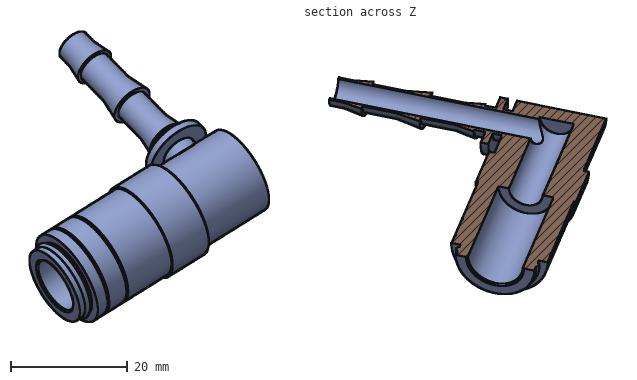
import cadquery as cq


back_radius = 8.0
collar_radius = 9.0
sleeve_radius = 8.65
nose_radius = 7.05
collar_start = 13.75
collar_end = 21.8
sleeve_end = 37.8
body_length = 40.5
collar_chamfer = 0.2

groove_starts = (31.2, 35.35)
groove_width = 0.35
groove_depth = 0.1

ring_center = 38.85
ring_half_width = 0.55
ring_height = 0.45

socket_radius = 4.9
socket_depth = body_length - collar_end
socket_chamfer = 0.3
passage_radius = 3.0

stem_radius = 3.0
stem_bore_radius = 2.5
root_radius = 3.25
flange_radius = 6.0
flange_start = 28.0
flange_width = 1.45
stem_length = 48 - collar_radius
stem_offset = flange_radius
barbs = ((2.55, 6.0, 3.65), (11.95, 16.45, 3.85), (22.5, 26.05, 3.65))
root_start = barbs[-1][1]


def y_cylinder(radius, start, end):
    """Cylinder on the body axis between two distances from the back end."""
    return cq.Workplane("XZ", origin=(0, -start, 0)).circle(radius).extrude(end - start)


def x_cylinder(radius, start, end):
    """Cylinder on the stem axis between two distances from the tip."""
    plane = cq.Workplane("YZ", origin=(start - stem_length, -stem_offset, 0))
    return plane.circle(radius).extrude(end - start)


def make_body():
    body = y_cylinder(back_radius, 0, collar_start)
    collar = y_cylinder(collar_radius, collar_start, collar_end)
    body = body.union(collar.faces(">Y").chamfer(collar_chamfer))
    body = body.union(y_cylinder(sleeve_radius, collar_end, sleeve_end))
    body = body.union(y_cylinder(nose_radius, sleeve_end, body_length))
    for start in groove_starts:
        end = start + groove_width
        groove = y_cylinder(sleeve_radius, start, end)
        core = y_cylinder(sleeve_radius - groove_depth, start, end)
        body = body.cut(groove.cut(core))
    return body.union(make_nose_ring())


def make_nose_ring():
    """Ring with an arched outer face, set into the nose wall."""
    root = (nose_radius + socket_radius) / 2
    first = -(ring_center - ring_half_width)
    last = -(ring_center + ring_half_width)
    profile = (
        cq.Workplane("XY")
        .moveTo(root, first)
        .lineTo(nose_radius, first)
        .threePointArc((nose_radius + ring_height, -ring_center), (nose_radius, last))
        .lineTo(root, last)
        .close()
    )
    return profile.revolve(360, (0, 0, 0), (0, 1, 0))


def make_barb(start, end, radius):
    """Cone that widens from the stem surface to a sharp step."""
    profile = cq.Workplane("XY", origin=(-stem_length, -stem_offset, 0)).polyline(
        [(start, 0), (start, stem_radius), (end, radius), (end, 0)]
    )
    return profile.close().revolve(360, (0, 0, 0), (1, 0, 0))


def make_stem():
    stem = x_cylinder(stem_radius, 0, stem_length)
    stem = stem.union(x_cylinder(root_radius, root_start, stem_length))
    stem = stem.union(x_cylinder(flange_radius, flange_start, flange_start + flange_width))
    for start, end, radius in barbs:
        stem = stem.union(make_barb(start, end, radius))
    return stem


def make_bores():
    """Socket with a chamfered mouth, the narrower passage and the stem bore."""
    socket_floor = body_length - socket_depth
    socket = y_cylinder(socket_radius, socket_floor, body_length)
    mouth = (
        cq.Workplane("XZ", origin=(0, -body_length, 0))
        .circle(socket_radius + socket_chamfer)
        .extrude(-socket_chamfer, taper=45)
    )
    passage = y_cylinder(passage_radius, stem_offset - passage_radius, socket_floor)
    stem_bore = x_cylinder(stem_bore_radius, 0, stem_length)
    return socket.union(mouth).union(passage).union(stem_bore)


result = make_body().union(make_stem()).cut(make_bores())